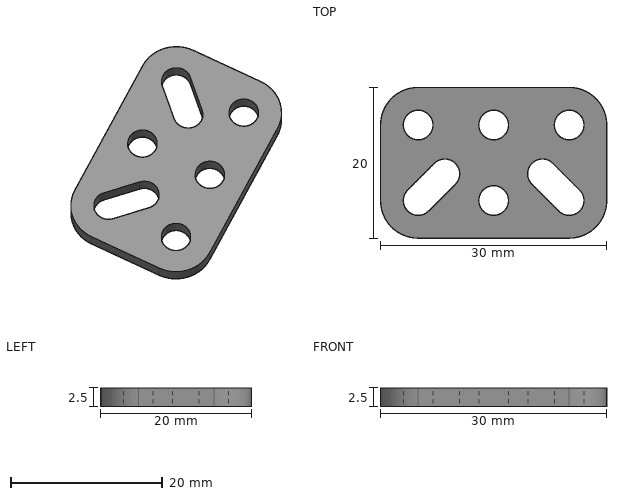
import cadquery as cq
import math

length = 30.0
columns = 3
rows = 2
pitch = length / columns
width = rows * pitch
thickness = pitch / 4
corner_radius = pitch / 2
hole_diameter = 3.9
slot_travel = pitch / 2
slot_angle = 45.0

row_y = pitch / 2


def make_plate():
    """Flat plate with rounded corners, centred on the origin."""
    plate = cq.Workplane("XY").box(length, width, thickness)
    return plate.edges("|Z").fillet(corner_radius)


def drill_holes(plate):
    """Three holes along the back row and one in the middle of the front row."""
    centres = [(-pitch, row_y), (0, row_y), (pitch, row_y), (0, -row_y)]
    return plate.faces(">Z").workplane().pushPoints(centres).hole(hole_diameter)


def make_slot(side):
    """Slot cutter from a front corner grid point towards the plate's middle; side is -1 or 1."""
    half_travel = slot_travel / 2
    centre_x = side * (pitch - half_travel * math.cos(math.radians(slot_angle)))
    centre_y = -row_y + half_travel * math.sin(math.radians(slot_angle))
    return (
        cq.Workplane("XY")
        .center(centre_x, centre_y)
        .slot2D(slot_travel + hole_diameter, hole_diameter, -side * slot_angle)
        .extrude(thickness, both=True)
    )


result = drill_holes(make_plate())
for side in (-1, 1):
    result = result.cut(make_slot(side))